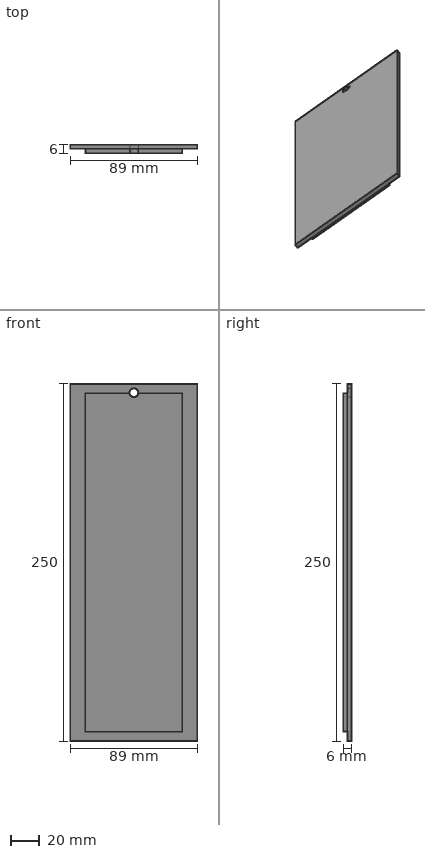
import cadquery as cq

plate_width = 89.0
plate_height = 250.0
plate_thickness = 3.0

pad_width = 67.7
pad_height = 236.8
pad_thickness = 3.0

hole_diameter = 6.0
hole_edge_distance = 6.25
hole_height = plate_height / 2 - hole_edge_distance

total_thickness = plate_thickness + pad_thickness


def upright_slab(width, height, thickness, front_y):
    """Slab centred in X and Z whose front face lies at front_y."""
    return cq.Workplane("XY").box(width, thickness, height).translate((0, front_y + thickness / 2, 0))


def hanging_hole():
    """Cylinder through the full thickness along Y."""
    axis_start = cq.Vector(0, 0, hole_height)
    axis_direction = cq.Vector(0, 1, 0)
    return cq.Solid.makeCylinder(hole_diameter / 2, total_thickness, axis_start, axis_direction)


pad = upright_slab(pad_width, pad_height, pad_thickness, 0)
plate = upright_slab(plate_width, plate_height, plate_thickness, pad_thickness)

result = plate.union(pad).cut(cq.Workplane(hanging_hole()))